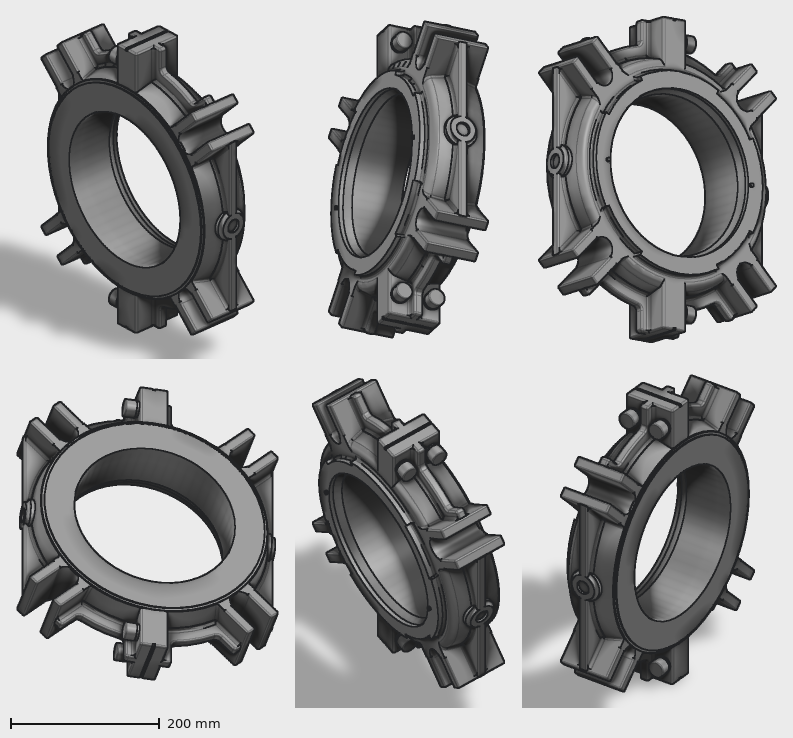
import cadquery as cq
import math

overall_width = 344.5
overall_height = 431.5
clamp_depth = 76.8

bore_diameter = 222.0
rear_bore_diameter = 231.5
rear_bore_depth = 6.5
rear_bore_taper = 11.0
hub_edge_radius = 157.0
hub_mid_radius = 166.5
hub_rear_round = 12.0

rim_radius = 156.0
rim_height = 1.5
rim_thickness = 2.5
lip_diameter = 304.5
lip_height = 1.7

collar_radius = 139.8
collar_height = 10.8
relief_depth = 5.5
relief_angle = 34.0
collar_root_round = 3.5
pin_diameter = 5.0
pin_height = 2.5
pin_offset = 120.5

diagonals = (45.0, 135.0, 225.0, 315.0)
slot_width = 31.0
slot_floor_radius = 154.5
arm_thickness = 14.5
arm_start = 167.5
arm_tip = 213.5
arm_round = 2.0
joint_round = 3.5

web_thickness = 13.0
web_radius = 183.5
web_edge_round = 2.5
web_corner_round = 4.0
web_valley_round = 7.5
web_root_round = 4.5
arm_rib_half_width = 42.3
arm_rib_tip = 211.5
flange_half_width = 32.0

block_width = 39.0
block_side_round = 3.0
block_top_round = 2.5
seam_width = 3.5
seam_depth = 3.0
bolt_head_diameter = 24.0
bolt_seat_diameter = 22.5
bolt_seat_end = 23.0
bolt_head_end = 38.5
bolt_head_round = 1.5
bolt_height = 186.8
bolt_spacing = 48.5

boss_diameter = 37.5
boss_root_round = 4.5
boss_hole_diameter = 19.5
boss_hole_depth = 4.5

half_width = overall_width / 2
half_height = overall_height / 2
half_depth = clamp_depth / 2
half_web = web_thickness / 2
half_block = block_width / 2
arm_inner = slot_width / 2
arm_outer = arm_inner + arm_thickness
buried_radius = hub_edge_radius - 13.0
slot_end_centre = slot_floor_radius + arm_inner
hub_slope = (hub_mid_radius - hub_edge_radius) / half_depth
web_root_radius = hub_mid_radius - hub_slope * (half_web + web_root_round / 2)
rim_front = -half_depth - rim_height
lip_front = rim_front - lip_height
collar_end = half_depth + collar_height
full_depth = (-half_depth, half_depth)
web_depth = (-half_web, half_web)
near = 0.2


def cylinder_y(radius, start, end):
    """Cylinder about the ring axis between two Y positions."""
    return cq.Workplane("XZ", origin=(0, start, 0)).circle(radius).extrude(start - end)


def box_between(x_limits, y_limits, z_limits):
    """Axis-aligned box from its limits."""
    lows, highs = zip(x_limits, y_limits, z_limits)
    sizes = [high - low for low, high in zip(lows, highs)]
    return cq.Workplane("XY").box(*sizes, centered=False).translate(lows)


def turned(shape, angle):
    """Turn a shape about the ring axis, from +X towards +Z."""
    return shape.rotate((0, 0, 0), (0, 1, 0), -angle)


def revolved(points):
    """Solid of revolution about the ring axis from (radius, Y) points."""
    return cq.Workplane("XY").polyline(points).close().revolve(360, (0, 0), (0, 1))


def picked_edges(shape, wanted):
    """Edges whose mid-point coordinates satisfy a test."""
    chosen = []
    for edge in shape.edges().vals():
        middle = edge.positionAt(0.5)
        if wanted(middle.x, middle.y, middle.z):
            chosen.append(edge)
    return shape.newObject(chosen)


def lug_offset(x, z):
    """Distance of a point from the nearest diagonal."""
    return abs(abs(x) - abs(z)) / math.sqrt(2)


def hub():
    barrel = revolved(
        [
            (0, -half_depth),
            (hub_edge_radius, -half_depth),
            (hub_mid_radius, 0),
            (hub_edge_radius, half_depth),
            (0, half_depth),
        ]
    )
    return barrel.faces(">Y").edges().fillet(hub_rear_round)


def slot():
    """Channel along +X with a round floor."""
    floor = cylinder_y(arm_inner, *full_depth).translate((slot_end_centre, 0, 0))
    return floor.union(box_between((slot_end_centre, half_height), full_depth, (-arm_inner, arm_inner)))


def hub_with_lugs():
    """Hub with square lug roots blended into it and rounded arms beyond them."""
    lug_width = (-arm_outer, arm_outer)
    body = hub()
    for angle in diagonals:
        body = body.union(turned(box_between((buried_radius, arm_start), full_depth, lug_width), angle))

    def at_hub(x, y, z):
        on_lug = abs(lug_offset(x, z) - arm_outer) < near
        return on_lug and abs(y) < half_depth - near and math.hypot(x, z) < hub_mid_radius + near

    def on_outline(x, y, z):
        on_face = abs(abs(y) - half_depth) < near
        on_side = x > slot_end_centre or abs(z) > arm_outer - near
        return x > arm_tip - near or (on_face and on_side)

    body = picked_edges(body, at_hub).fillet(joint_round)
    arms = box_between((arm_start, arm_tip), full_depth, lug_width).cut(slot())
    arms = picked_edges(arms, on_outline).fillet(arm_round)
    for angle in diagonals:
        body = body.union(turned(arms, angle))
    return body


def web_plate():
    """Flat plate joining the lugs, the blocks and the sides, with rounded corners and edges."""
    plate = cylinder_y(web_radius, *web_depth)
    rib_width = (-arm_rib_half_width, arm_rib_half_width)
    for angle in diagonals:
        plate = plate.union(turned(box_between((buried_radius, arm_rib_tip), web_depth, rib_width), angle))
    flange_width = (-flange_half_width, flange_half_width)
    plate = plate.union(box_between(flange_width, web_depth, (-half_height, half_height)))
    side_reach = (arm_tip - arm_outer) / math.sqrt(2)
    width = (-half_width, half_width)
    plate = plate.union(box_between(width, web_depth, (-side_reach, side_reach)))
    plate = plate.intersect(box_between(width, web_depth, (-half_height, half_height)))

    def upright(x, y):
        return abs(y) < near and abs(x) < half_width - 4.5

    def in_valley(x, y, z):
        return upright(x, y) and abs(math.hypot(x, z) - web_radius) < near

    def at_tip(x, y, z):
        return upright(x, y) and math.hypot(x, z) > arm_rib_tip

    plate = picked_edges(plate, in_valley).fillet(web_valley_round)
    plate = picked_edges(plate, at_tip).fillet(web_corner_round)
    return plate.faces("<Y or >Y").edges().fillet(web_edge_round)


def root_section(wall, height=0):
    """Section of the web's blend into a wall at X = wall, on both faces of the web."""
    toe = wall + web_root_round
    top = half_web + web_root_round
    bulge_x = toe - web_root_round / math.sqrt(2)
    bulge_y = top - web_root_round / math.sqrt(2)
    back = wall - web_root_round
    return (
        cq.Workplane("XY", origin=(0, 0, height))
        .moveTo(back, top)
        .lineTo(wall, top)
        .threePointArc((bulge_x, bulge_y), (toe, half_web))
        .lineTo(toe, -half_web)
        .threePointArc((bulge_x, -bulge_y), (wall, -top))
        .lineTo(back, -top)
        .close()
    )


def root_bars(wall, high):
    """Pair of blends running along Z at X = wall and X = -wall."""
    bar = root_section(wall, buried_radius).extrude(high - buried_radius)
    return bar.union(bar.mirror("YZ"))


def web():
    """Web plate with its blends into the hub, the lugs and the blocks."""
    plate = web_plate().union(root_section(web_root_radius).revolve(360, (0, 0), (0, 1)))
    lug_bars = turned(root_bars(arm_outer, arm_rib_tip - web_edge_round), -90)
    side_limit = half_width - web_edge_round
    kept = box_between((-side_limit, side_limit), full_depth, (-half_height, half_height))
    for angle in diagonals:
        plate = plate.union(turned(lug_bars, angle).intersect(kept))
    block_bars = root_bars(half_block, half_height - web_edge_round)
    for angle in (0, 180):
        plate = plate.union(turned(block_bars, angle))
    return plate


def block():
    blank = box_between((-half_block, half_block), full_depth, (buried_radius, half_height))
    return blank.edges("|Z").fillet(block_side_round).faces(">Z").edges().fillet(block_top_round)


def seam():
    """Groove along the top of a block, where the clamp halves meet."""
    width = (-seam_width / 2, seam_width / 2)
    return box_between(width, full_depth, (half_height - seam_depth, half_height))


def boss():
    """Boss along +X with a concave root."""
    radius = boss_diameter / 2
    toe = radius + boss_root_round
    shoulder = hub_mid_radius + boss_root_round
    bulge_x = shoulder - boss_root_round / math.sqrt(2)
    bulge_y = toe - boss_root_round / math.sqrt(2)
    return (
        cq.Workplane("XY")
        .moveTo(buried_radius, 0)
        .lineTo(half_width, 0)
        .lineTo(half_width, radius)
        .lineTo(shoulder, radius)
        .threePointArc((bulge_x, bulge_y), (hub_mid_radius, toe))
        .lineTo(buried_radius, toe)
        .close()
        .revolve(360, (0, 0), (1, 0))
    )


def boss_hole():
    start = half_width - boss_hole_depth
    return cq.Workplane("YZ", origin=(start, 0, 0)).circle(boss_hole_diameter / 2).extrude(boss_hole_depth)


def collar():
    """Rear collar with relieved diagonals and a blended root."""
    reach = 2 * collar_radius
    rise = reach * math.tan(math.radians(relief_angle / 2))
    wedge = cq.Workplane("XZ").polyline([(0, 0), (reach, -rise), (reach, rise)]).close()
    wedge = wedge.extrude(-collar_end)
    core = cylinder_y(collar_radius - relief_depth, 0, collar_end)
    ring = cylinder_y(collar_radius, 0, collar_end)
    for angle in diagonals:
        ring = ring.cut(turned(wedge, angle))
    ring = ring.union(core)
    ring = ring.union(cylinder_y(collar_radius + 2 * collar_root_round, 0, half_depth))

    def at_root(x, y, z):
        inside = math.hypot(x, z) < collar_radius + near
        return inside and abs(y - half_depth) < near

    return picked_edges(ring, at_root).fillet(collar_root_round)


def pin():
    return cylinder_y(pin_diameter / 2, half_depth, collar_end + pin_height).translate((pin_offset, 0, 0))


def front_rim():
    rim = cylinder_y(rim_radius, rim_front, -half_depth + rim_thickness)
    return rim.union(cylinder_y(lip_diameter / 2, lip_front, rim_front))


def bore():
    bore_radius = bore_diameter / 2
    rear_radius = rear_bore_diameter / 2
    step = collar_end - rear_bore_depth
    return revolved(
        [
            (0, lip_front),
            (bore_radius, lip_front),
            (bore_radius, step - rear_bore_taper),
            (rear_radius, step),
            (rear_radius, collar_end),
            (0, collar_end),
        ]
    )


def bolt(y, z):
    """Bolt head on its raised seat, on the -X side of a block."""
    seat = cq.Workplane("YZ").center(y, z).circle(bolt_seat_diameter / 2).extrude(-bolt_seat_end)
    head = cq.Workplane("YZ", origin=(-bolt_seat_end, 0, 0)).center(y, z).circle(bolt_head_diameter / 2)
    head = head.extrude(bolt_seat_end - bolt_head_end).faces("<X").edges().fillet(bolt_head_round)
    return seat.union(head)


clamp = hub_with_lugs().union(web())
for angle in (0, 180):
    clamp = clamp.union(turned(block(), angle)).cut(turned(seam(), angle))
for angle in diagonals:
    clamp = clamp.cut(turned(slot(), angle))
for angle in (0, 180):
    clamp = clamp.union(turned(boss(), angle)).cut(turned(boss_hole(), angle))

clamp = clamp.union(front_rim())
clamp = clamp.union(collar())
for angle in (0, 180):
    clamp = clamp.union(turned(pin(), angle))
for z in (bolt_height, -bolt_height):
    for y in (bolt_spacing / 2, -bolt_spacing / 2):
        clamp = clamp.union(bolt(y, z))

result = clamp.cut(bore())